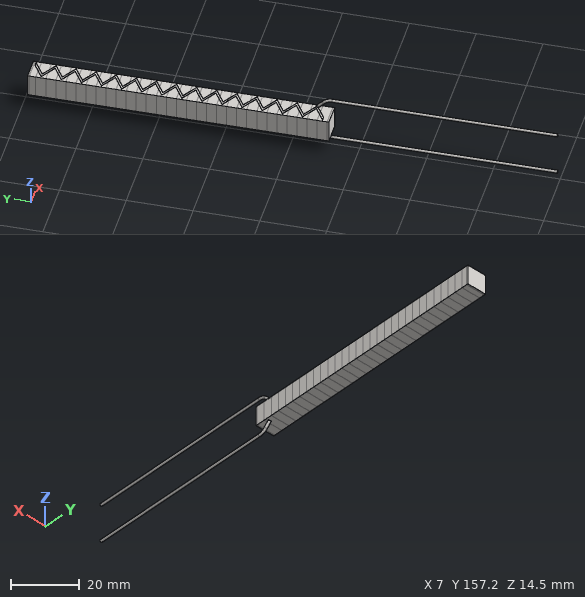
import cadquery as cq
import math

STACK_WIDTH = 7.0
STACK_LENGTH = 90.2
END_PLATE = 0.53
CHIP_COUNT = 30
CHIP_PITCH = STACK_LENGTH / CHIP_COUNT
STACK_TOP = STACK_WIDTH / 2

TRACK_THICKNESS = 0.05
TRACK_WIDTH = 0.66
TRACK_SWING = 2.4

OVERALL_LENGTH = 157.2
OVERALL_HEIGHT = 14.5
LEAD_RADIUS = 0.5
LEAD_X = 2.5
LEAD_RISE_ANGLE = 45.0
LEAD_BEND_RADIUS = 3.8
LEAD_START_Y = 4.9
LEAD_START_HEIGHT = 0.3
LEAD_END_Y = STACK_LENGTH - OVERALL_LENGTH
LEAD_AXIS_Z = OVERALL_HEIGHT / 2 - LEAD_RADIUS


def make_stack():
    """One solid, with the chip joints kept as face boundaries."""
    joints = [END_PLATE + i * CHIP_PITCH for i in range(CHIP_COUNT)]
    stations = [0.0, *joints, STACK_LENGTH - END_PLATE, STACK_LENGTH]
    layers = []
    for start, end in zip(stations, stations[1:]):
        layer = cq.Workplane("XY").box(STACK_WIDTH, end - start, STACK_WIDTH)
        layers.append(layer.translate((0, (start + end) / 2, 0)).val())
    return cq.Workplane(layers[0].fuse(*layers[1:]).Solids()[0])


def make_electrode():
    """Mitred zigzag track: its two long edges are the centre line shifted sideways."""
    slope = math.atan2(CHIP_PITCH, 2 * TRACK_SWING)
    shift = TRACK_WIDTH / 2 / math.sin(slope)
    bends = []
    for i in range(CHIP_COUNT):
        side = -1 if i % 2 == 0 else 1
        bends.append((side * TRACK_SWING, END_PLATE + (i + 0.5) * CHIP_PITCH))
    right_edge = [(x + shift, y) for x, y in bends]
    left_edge = [(x - shift, y) for x, y in reversed(bends)]
    outline = cq.Workplane("XY").workplane(offset=STACK_TOP).polyline(right_edge + left_edge).close()
    return outline.extrude(TRACK_THICKNESS)


def make_upper_lead():
    """Round wire that climbs off the bar, bends level and runs straight out past the -Y end."""
    angle = math.radians(LEAD_RISE_ANGLE)
    start_z = STACK_TOP + LEAD_START_HEIGHT
    corner_y = LEAD_START_Y - (LEAD_AXIS_Z - start_z) / math.tan(angle)
    tangent = LEAD_BEND_RADIUS * math.tan(angle / 2)
    bend_start = (corner_y + tangent * math.cos(angle), LEAD_AXIS_Z - tangent * math.sin(angle))
    bend_middle = (
        corner_y - tangent + LEAD_BEND_RADIUS * math.sin(angle / 2),
        LEAD_AXIS_Z - LEAD_BEND_RADIUS * (1 - math.cos(angle / 2)),
    )
    bend_end = (corner_y - tangent, LEAD_AXIS_Z)
    path = (
        cq.Workplane("YZ", origin=(LEAD_X, 0, 0))
        .moveTo(LEAD_END_Y, LEAD_AXIS_Z)
        .lineTo(*bend_end)
        .threePointArc(bend_middle, bend_start)
        .lineTo(LEAD_START_Y, start_z)
    )
    section = cq.Workplane("XZ", origin=(LEAD_X, LEAD_END_Y, LEAD_AXIS_Z)).circle(LEAD_RADIUS)
    return section.sweep(path)


stack = make_stack()
electrode = make_electrode()
lead = make_upper_lead()

upper_lead = lead.cut(stack).cut(electrode)
lower_lead = lead.mirror("XY").cut(stack)

result = cq.Compound.makeCompound([stack.val(), electrode.val(), *upper_lead.vals(), *lower_lead.vals()])